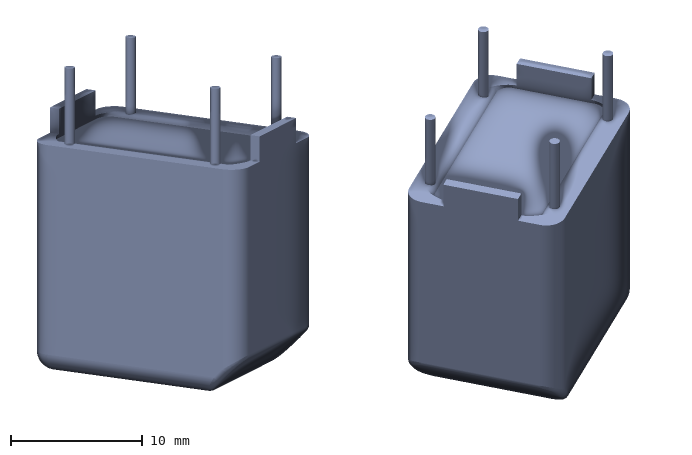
import math

import cadquery as cq

length = 18.0
width = 12.5
case_height = 18.0
case_radius = 1.5

chamfer_size = 3.0
chamfer_edge_radius = 0.5

tab_width = 6.0
tab_thickness = 0.8
tab_height = 2.0

overall_height = 24.0
pin_diameter = 0.8
pin_pitch_x = 12.5
pin_pitch_y = 10.0
pin_embedment = 1.2

recess_depth = 0.3
recess_corner_radius = 1.0
recess_edge_radius = 1.0
recess_length = length - 2 * tab_thickness
recess_rim_width = pin_pitch_y
rim_corner_bulge = 0.15

edge_run = math.sqrt(recess_edge_radius**2 - (recess_edge_radius - recess_depth) ** 2)
recess_floor_width = recess_rim_width - 2 * edge_run
recess_floor_z = case_height - recess_depth


def make_case():
    block = cq.Workplane("XY").box(length, width, case_height, centered=(True, True, False))
    rounded = block.edges("|Z or <Z").fillet(case_radius)

    key_cutter = (
        cq.Workplane("XZ")
        .moveTo(length / 2 - chamfer_size, 0)
        .lineTo(length / 2, 0)
        .lineTo(length / 2, chamfer_size)
        .close()
        .extrude(width / 2, both=True)
    )
    keyed = rounded.cut(key_cutter)
    slope = cq.Vector(1, 0, -1)
    return keyed.faces(cq.selectors.DirectionNthSelector(slope, -1)).edges().fillet(chamfer_edge_radius)


def make_tab(side):
    tab_x = side * (length - tab_thickness) / 2
    return (
        cq.Workplane("XY", origin=(tab_x, 0, recess_floor_z))
        .rect(tab_thickness, tab_width)
        .extrude(recess_depth + tab_height)
    )


def recess_outline(z, straight_width, bulge):
    """Closed outline: two long edges at +-straight_width / 2, blended into the ends by arcs."""
    end_x = recess_length / 2
    corner_x = end_x - recess_corner_radius
    corner_y = recess_floor_width / 2 - recess_corner_radius
    edge_y = straight_width / 2
    chord_x = end_x - corner_x
    chord_y = edge_y - corner_y
    chord = math.hypot(chord_x, chord_y)
    mid_x = (corner_x + end_x) / 2 + bulge * chord_y / chord
    mid_y = (corner_y + edge_y) / 2 + bulge * chord_x / chord
    return (
        cq.Workplane("XY", origin=(0, 0, z))
        .moveTo(-corner_x, edge_y)
        .lineTo(corner_x, edge_y)
        .threePointArc((mid_x, mid_y), (end_x, corner_y))
        .lineTo(end_x, -corner_y)
        .threePointArc((mid_x, -mid_y), (corner_x, -edge_y))
        .lineTo(-corner_x, -edge_y)
        .threePointArc((-mid_x, -mid_y), (-end_x, -corner_y))
        .lineTo(-end_x, corner_y)
        .threePointArc((-mid_x, mid_y), (-corner_x, edge_y))
        .close()
        .wire()
        .val()
    )


def make_recess():
    floor_bulge = recess_corner_radius * (1 - math.sqrt(0.5))
    floor = recess_outline(recess_floor_z, recess_floor_width, floor_bulge)
    rim = recess_outline(case_height, recess_rim_width, rim_corner_bulge)
    tapered = cq.Workplane(cq.Solid.makeLoft([floor, rim], True))

    arc_angle = math.acos(1 - recess_depth / recess_edge_radius) / 2
    mid_y = recess_rim_width / 2 - recess_edge_radius * math.sin(arc_angle)
    mid_z = case_height - recess_edge_radius * (1 - math.cos(arc_angle))
    channel = (
        cq.Workplane("YZ")
        .moveTo(-recess_rim_width / 2, case_height)
        .threePointArc((-mid_y, mid_z), (-recess_floor_width / 2, recess_floor_z))
        .lineTo(recess_floor_width / 2, recess_floor_z)
        .threePointArc((mid_y, mid_z), (recess_rim_width / 2, case_height))
        .close()
        .extrude(length / 2, both=True)
    )
    return tapered.intersect(channel)


def make_pins():
    base_z = recess_floor_z - pin_embedment
    return (
        cq.Workplane("XY", origin=(0, 0, base_z))
        .rect(pin_pitch_x, pin_pitch_y, forConstruction=True)
        .vertices()
        .circle(pin_diameter / 2)
        .extrude(overall_height - base_z)
    )


case = make_case().cut(make_recess())
for end in (-1, 1):
    case = case.union(make_tab(end))
result = case.union(make_pins())